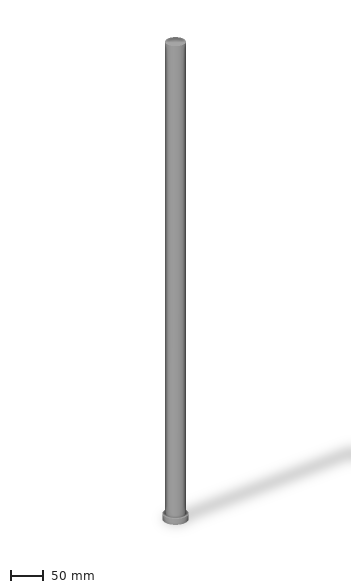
import cadquery as cq

total_length = 810.0
head_diameter = 40.0
head_height = 10.0
shaft_diameter = 32.0


def make_head():
    """Head disc, with its underside on the XY plane."""
    return cq.Workplane("XY").circle(head_diameter / 2).extrude(head_height)


def make_shaft():
    """Shaft rising from the top of the head."""
    shaft_length = total_length - head_height
    return (
        cq.Workplane("XY")
        .workplane(offset=head_height)
        .circle(shaft_diameter / 2)
        .extrude(shaft_length)
    )


result = make_head().union(make_shaft())